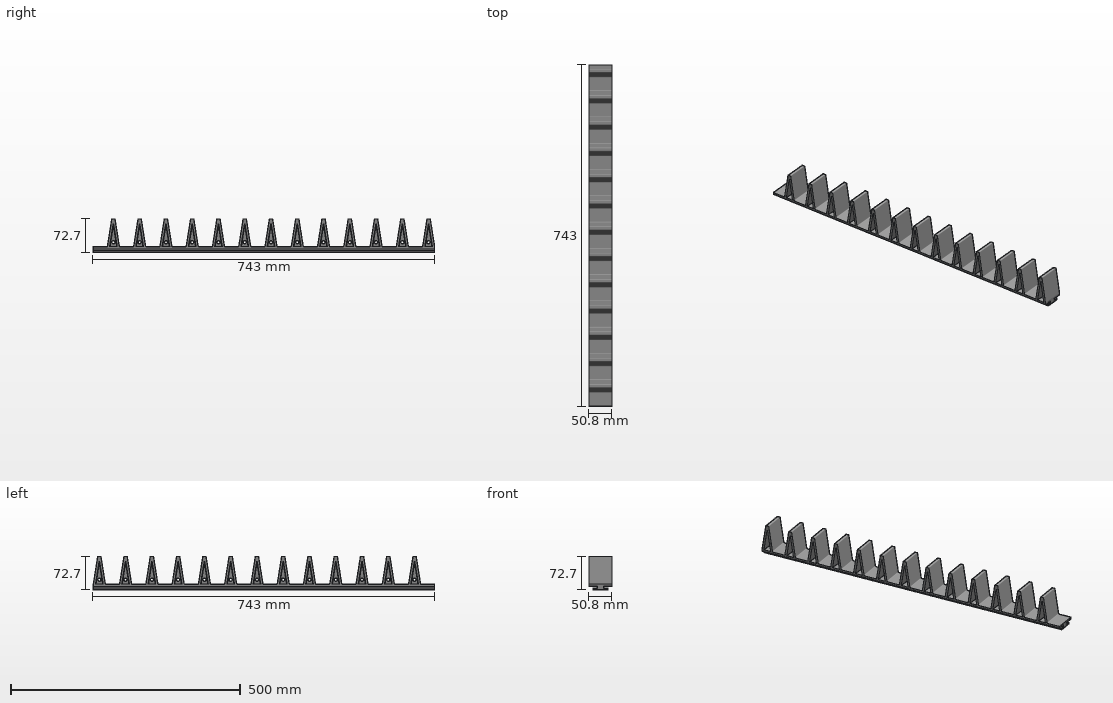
import cadquery as cq

pitch = 57.15
fin_count = 13
length = fin_count * pitch
width = 50.8
total_height = 72.71

fin_height = 60.325
plate_thickness = 4.7625
foot_thickness = 3.81
foot_width = 31.75
neck_width = 14.3
plate_top = total_height - fin_height
plate_bottom = plate_top - plate_thickness

fin_base = 26.6
fin_top = 7.5
fin_fillet = 1.5875
fin_slope = (fin_base - fin_top) / 2 / fin_height
first_fin_y = length - fin_base / 2

wall = 4.9
web_thickness = wall
recess_top_gap = 11.0
recess_height = fin_height - recess_top_gap
recess_depth = (width - web_thickness) / 2
recess_base = fin_base - 2 * wall
recess_apex = recess_base - 2 * fin_slope * recess_height
side_draft = 1.27
apex_draft = 3.81
inner_apex = 0.1

hole_diameter = 6.35
hole_height = 9.525


def make_bar(bar_width, bottom, top):
    """Rectangular bar over the full length, centred on X."""
    bar = cq.Workplane("XY", origin=(0, 0, bottom))
    return bar.box(bar_width, length, top - bottom, centered=(True, False, False))


def trapezoid(bottom_width, top_width, height):
    """Corners of a symmetric trapezoid standing on the origin."""
    return [
        (-bottom_width / 2, 0),
        (bottom_width / 2, 0),
        (top_width / 2, height),
        (-top_width / 2, height),
    ]


def make_base():
    plate = make_bar(width, plate_bottom, plate_top)
    neck = make_bar(neck_width, foot_thickness, plate_bottom)
    foot = make_bar(foot_width, 0, foot_thickness)
    return plate.union(neck).union(foot)


def make_fin():
    """Solid fin with rounded top edges, standing on the origin."""
    return (
        cq.Workplane("YZ")
        .polyline(trapezoid(fin_base, fin_top, fin_height))
        .close()
        .extrude(width / 2, both=True)
        .faces(">Z")
        .edges("|X")
        .fillet(fin_fillet)
    )


def fillet_fin_roots(body):
    """Round the corners where fins meet the plate, leaving the two ends of the plate sharp."""
    margin = fin_fillet
    root_zone = cq.selectors.BoxSelector(
        (-width, margin, plate_top - margin),
        (width, length - margin, plate_top + margin),
    )
    return body.edges("|X").edges(root_zone).fillet(fin_fillet)


def make_fin_cut():
    """The two recesses and the web hole of one fin, as one cutting body."""
    recess = (
        cq.Workplane("YZ", origin=(web_thickness / 2, 0, 0))
        .polyline(trapezoid(recess_base - 2 * side_draft, inner_apex, recess_height - apex_draft))
        .close()
        .workplane(offset=recess_depth)
        .polyline(trapezoid(recess_base, recess_apex, recess_height))
        .close()
        .loft(ruled=True)
    )
    hole = (
        cq.Workplane("YZ")
        .center(0, hole_height)
        .circle(hole_diameter / 2)
        .extrude(web_thickness, both=True)
    )
    return recess.union(recess.mirror("YZ")).union(hole)


fin_places = [(0, first_fin_y - i * pitch, plate_top) for i in range(fin_count)]
fin = make_fin()
fin_cut = make_fin_cut()

body = make_base()
for place in fin_places:
    body = body.union(fin.translate(place))
body = fillet_fin_roots(body)
for place in fin_places:
    body = body.cut(fin_cut.translate(place))

result = body